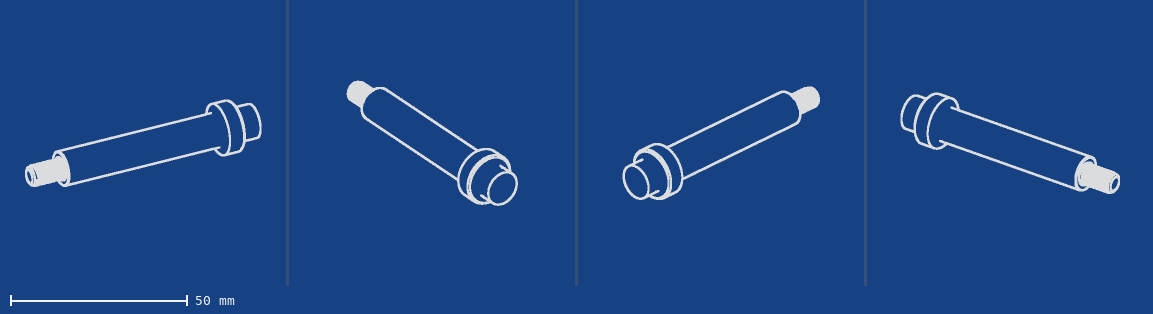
import cadquery as cq
import math

overall_length = 71.0
stud_reach = 10.0
collar_width = 5.0
spigot_length = 6.0
spigot_start = overall_length - spigot_length
collar_start = spigot_start - collar_width

shaft_diameter = 10.0
shaft_radius = shaft_diameter / 2
collar_diameter = 15.0
collar_radius = collar_diameter / 2
collar_fillet = 1.0
collar_chamfer = 0.5
spigot_fillet = 0.2
shaft_chamfer = 0.2

arc_mid_offset = 1 - math.sqrt(0.5)

crest_radius = 3.0
root_radius = 2.7
thread_pitch = 1.0
crest_width = 0.15
root_width = 0.4
tip_radius = 2.05
tip_chamfer_length = 0.5
thread_end_gap = 0.35
thread_embed = 0.15

hole_depth = 10.0
hole_end = stud_reach + hole_depth
countersink_radius = 3.4
countersink_depth = countersink_radius - crest_radius


def revolve_about_y(profile):
    """Turn a closed half profile, drawn as (radius, Y), into a solid about the Y axis."""
    return profile.close().revolve(360, (0, 0, 0), (0, 1, 0))


def make_pin():
    """Shaft with a collar and a rear spigot, and a countersunk blind hole in its front end."""
    profile = (
        cq.Workplane("XY")
        .moveTo(0, stud_reach)
        .lineTo(shaft_radius - shaft_chamfer, stud_reach)
        .lineTo(shaft_radius, stud_reach + shaft_chamfer)
        .lineTo(shaft_radius, collar_start - collar_fillet)
        .threePointArc(
            (shaft_radius + arc_mid_offset * collar_fillet, collar_start - arc_mid_offset * collar_fillet),
            (shaft_radius + collar_fillet, collar_start),
        )
        .lineTo(collar_radius, collar_start)
        .lineTo(collar_radius, spigot_start - collar_chamfer)
        .lineTo(collar_radius - collar_chamfer, spigot_start)
        .lineTo(shaft_radius + spigot_fillet, spigot_start)
        .threePointArc(
            (shaft_radius + arc_mid_offset * spigot_fillet, spigot_start + arc_mid_offset * spigot_fillet),
            (shaft_radius, spigot_start + spigot_fillet),
        )
        .lineTo(shaft_radius, overall_length)
        .lineTo(0, overall_length)
    )
    hole = (
        cq.Workplane("XY")
        .moveTo(0, stud_reach)
        .lineTo(countersink_radius, stud_reach)
        .lineTo(crest_radius, stud_reach + countersink_depth)
        .lineTo(crest_radius, hole_end)
        .lineTo(0, hole_end)
    )
    return revolve_about_y(profile).cut(revolve_about_y(hole))


def make_stud_core():
    """Chamfered core at the root radius, with a full-radius shank that fills the blind hole."""
    shank_start = stud_reach + countersink_depth
    profile = (
        cq.Workplane("XY")
        .lineTo(tip_radius, 0)
        .lineTo(root_radius, tip_chamfer_length)
        .lineTo(root_radius, shank_start)
        .lineTo(crest_radius, shank_start)
        .lineTo(crest_radius, hole_end)
        .lineTo(0, hole_end)
    )
    return revolve_about_y(profile)


def make_thread():
    """Right-hand helical ridge, sunk slightly into the core so that the two fuse cleanly."""
    ridge_start = tip_chamfer_length + thread_end_gap
    ridge_height = stud_reach - ridge_start
    path = cq.Wire.makeHelix(thread_pitch, ridge_height, root_radius)
    base_radius = root_radius - thread_embed
    flank_slope = (root_width - crest_width) / (crest_radius - root_radius)
    base_width = root_width + flank_slope * thread_embed
    ridge = (
        cq.Workplane("XZ")
        .polyline([
            (base_radius, -base_width / 2),
            (crest_radius, -crest_width / 2),
            (crest_radius, crest_width / 2),
            (base_radius, base_width / 2),
        ])
        .close()
        .sweep(path, isFrenet=True)
    )
    return ridge.rotate((0, 0, 0), (1, 0, 0), -90).translate((0, ridge_start, 0))


def make_stud():
    """Threaded stud seated in the pin."""
    return make_stud_core().union(make_thread())


pin = make_pin()
stud = make_stud()

result = cq.Compound.makeCompound([*pin.solids().vals(), *stud.solids().vals()])